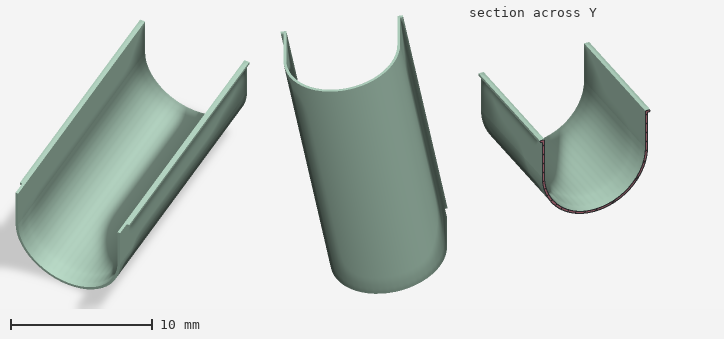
import cadquery as cq

length = 19.0
height = 7.37
overall_width = 8.75
trough_width = 8.38
wall = 0.2
lip_thickness = 0.2
lip_setback = 1.0

outer_radius = trough_width / 2
inner_radius = outer_radius - wall
straight_height = height - outer_radius


def u_prism(radius):
    """Solid U-shaped bar, round below Z = 0 and straight-sided above it."""
    return (
        cq.Workplane("XZ")
        .moveTo(-radius, straight_height)
        .lineTo(-radius, 0)
        .threePointArc((0, -radius), (radius, 0))
        .lineTo(radius, straight_height)
        .close()
        .extrude(-length)
    )


def lip(side):
    """Flat strip along the top outer edge of one wall; side is -1 or +1."""
    lip_reach = overall_width / 2 - inner_radius
    lip_length = length - lip_setback
    return cq.Workplane("XY").box(lip_reach, lip_length, lip_thickness).translate((
        side * (inner_radius + lip_reach / 2),
        lip_setback + lip_length / 2,
        straight_height - lip_thickness / 2,
    ))


result = u_prism(outer_radius).cut(u_prism(inner_radius))
for side in (-1, 1):
    result = result.union(lip(side))